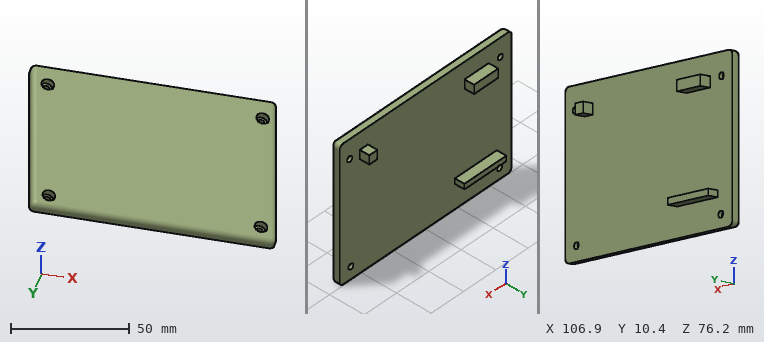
import cadquery as cq

plate_length = 106.87
plate_height = 76.21
plate_thickness = 5.0
total_depth = 10.45
edge_radius = 2.5

hole_diameter = 3.0
wide_bore_diameter = 5.5
narrow_bore_diameter = 5.4
bore_depth = 3.0
screw_holes = [
    (-46.44, 27.6, wide_bore_diameter),
    (47.06, 27.3, wide_bore_diameter),
    (-45.97, -32.05, narrow_bore_diameter),
    (46.3, -31.2, wide_bore_diameter),
]

block_height = total_depth - plate_thickness
upper_block_z = 26.1
lower_block_z = -22.9
upper_block_width = 5.0
lower_block_width = 3.0
short_block_length = 5.0
medium_block_length = 15.0
long_block_length = 26.0
blocks = [
    (-31.65, upper_block_z, medium_block_length, upper_block_width),
    (-31.2, lower_block_z, long_block_length, lower_block_width),
    (38.3, upper_block_z, short_block_length, upper_block_width),
]


def make_plate():
    """Plate with rounded corners and a rounded rim around its outer face."""
    plate = cq.Workplane("XY").box(
        plate_length, plate_thickness, plate_height, centered=(True, False, True)
    )
    rounded_corners = plate.edges("|Y").fillet(edge_radius)
    return rounded_corners.faces("<Y").edges().fillet(edge_radius)


def cylinder_along_y(x, z, diameter, length):
    """Cylinder running from the outer face (Y = 0) towards the inner face."""
    start = cq.Vector(x, 0, z)
    direction = cq.Vector(0, 1, 0)
    return cq.Workplane(cq.Solid.makeCylinder(diameter / 2, length, start, direction))


def cut_screw_hole(body, x, z, bore_diameter):
    """Through hole with a counterbore in the outer face."""
    through_hole = cylinder_along_y(x, z, hole_diameter, plate_thickness)
    counterbore = cylinder_along_y(x, z, bore_diameter, bore_depth)
    return body.cut(through_hole).cut(counterbore)


def add_block(body, x, z, length, width):
    """Rectangular block standing on the inner face."""
    block = cq.Workplane("XY").box(length, block_height, width, centered=(True, False, True))
    return body.union(block.translate((x, plate_thickness, z)))


result = make_plate()
for hole in screw_holes:
    result = cut_screw_hole(result, *hole)
for block in blocks:
    result = add_block(result, *block)